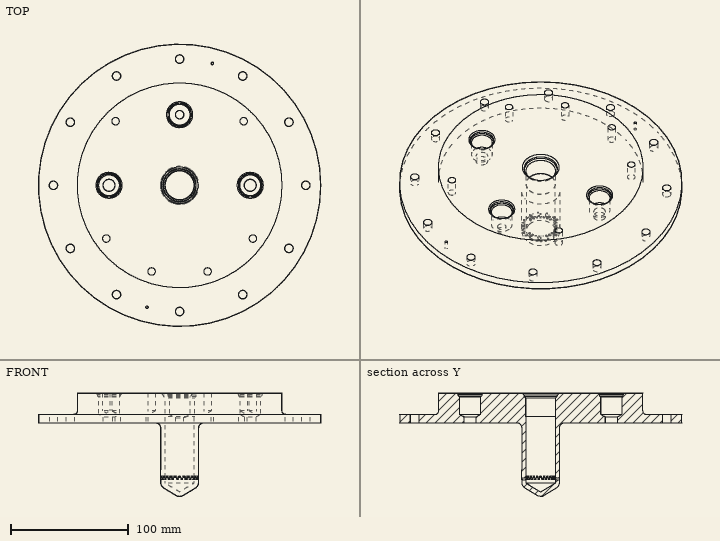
import cadquery as cq
import math

flange_diameter = 240.0
flange_thickness = 7.5
boss_diameter = 174.0
boss_height = 18.0
plate_thickness = flange_thickness + boss_height
boss_fillet_radius = 3.0

overall_height = 87.91
stem_diameter = 32.5
stem_root_fillet = 4.0
stem_shoulder_radius = 6.5
stem_tip_radius = 6.0
drill_point_angle = 118.0
tip_z = plate_thickness - overall_height

seal_cone_angle = 12.0

bore_diameter = 24.5
centre_mouth_diameter = 31.2
centre_cone_diameter = 28.2
centre_seat_diameter = 27.58
centre_thread_diameter = 25.07
centre_thread_depth = 20.0

port_mouth_diameter = 22.2
port_cone_diameter = 20.15
port_seat_diameter = 19.53
port_thread_diameter = 17.6
port_depth = 18.0
port_circle_radius = 60.0
port_outlets = {0.0: 10.0, 90.0: 7.0, 180.0: 10.0}

bolt_hole_diameter = 7.0
bolt_hole_count = 12
flange_hole_circle_radius = 107.25
pin_hole_diameter = 2.0
pin_hole_angles = (75.0, 255.0)

tapped_hole_diameter = 6.35
tapped_hole_depth = 15.0
tapped_hole_circle_radius = 77.0
tapped_hole_angles = (45.0, 135.0, 216.0, 252.0, 288.0, 324.0)

spray_hole_diameter = 1.2
spray_holes_per_row = 26
upper_spray_z = -45.6
lower_spray_z = -47.4
spray_pitch_angle = 360 / spray_holes_per_row
upper_spray_angle = 270.0
lower_spray_angle = upper_spray_angle + spray_pitch_angle / 2

cone_half_angle = math.radians(drill_point_angle / 2)


def cone_height(radius):
    """Height of a drill-point cone with the given base radius."""
    return radius / math.tan(cone_half_angle)


def polar_point(radius, angle):
    """XY position at a radius and an angle in degrees."""
    return (radius * math.cos(math.radians(angle)), radius * math.sin(math.radians(angle)))


def revolve_profile(profile):
    """Turn a closed XZ profile about the Z axis."""
    return profile.close().revolve(360, (0, 0, 0), (0, 1, 0))


def make_plate():
    """Flange and boss as one turned disc with a fillet at the boss foot."""
    flange_radius = flange_diameter / 2
    boss_radius = boss_diameter / 2
    profile = (
        cq.Workplane("XZ")
        .lineTo(flange_radius, 0)
        .lineTo(flange_radius, flange_thickness)
        .lineTo(boss_radius + boss_fillet_radius, flange_thickness)
        .radiusArc((boss_radius, flange_thickness + boss_fillet_radius), boss_fillet_radius)
        .lineTo(boss_radius, plate_thickness)
        .lineTo(0, plate_thickness)
    )
    return revolve_profile(profile)


def make_stem():
    """Stem whose wall, shoulder arc, cone and rounded tip run tangent to one another."""
    radius = stem_diameter / 2
    sin_half = math.sin(cone_half_angle)
    cos_half = math.cos(cone_half_angle)

    tip_centre_z = tip_z + stem_tip_radius
    tip_end_x = stem_tip_radius * cos_half
    tip_end_z = tip_centre_z - stem_tip_radius * sin_half

    shoulder_centre_x = radius - stem_shoulder_radius
    shoulder_end_x = shoulder_centre_x + stem_shoulder_radius * cos_half
    shoulder_end_z = tip_end_z + cone_height(shoulder_end_x - tip_end_x)
    shoulder_top_z = shoulder_end_z + stem_shoulder_radius * sin_half

    profile = (
        cq.Workplane("XZ")
        .lineTo(0, tip_z)
        .radiusArc((tip_end_x, tip_end_z), -stem_tip_radius)
        .lineTo(shoulder_end_x, shoulder_end_z)
        .radiusArc((radius, shoulder_top_z), -stem_shoulder_radius)
        .lineTo(radius, -stem_root_fillet)
        .radiusArc((radius + stem_root_fillet, 0), stem_root_fillet)
    )
    return revolve_profile(profile)


def open_port_profile(thread_diameter, seat_diameter, cone_diameter, mouth_diameter, lower_points):
    """Half section of a port: the given lower points, then the thread wall and flared mouth."""
    thread_radius = thread_diameter / 2
    seat_radius = seat_diameter / 2
    cone_radius = cone_diameter / 2
    mouth_radius = mouth_diameter / 2
    cone_top_z = plate_thickness - (mouth_radius - cone_radius)
    seat_z = cone_top_z - (cone_radius - seat_radius) / math.tan(math.radians(seal_cone_angle))
    thread_top_z = seat_z - (seat_radius - thread_radius)
    return cq.Workplane("XZ").polyline(
        lower_points
        + [
            (thread_radius, thread_top_z),
            (seat_radius, seat_z),
            (cone_radius, cone_top_z),
            (mouth_radius, plate_thickness),
            (0, plate_thickness),
        ]
    )


def make_centre_bore():
    """Central port continued by a blind bore with a drill point."""
    bore_radius = bore_diameter / 2
    thread_radius = centre_thread_diameter / 2
    thread_end_z = plate_thickness - centre_thread_depth
    wall = (stem_diameter - bore_diameter) / 2
    point_z = tip_z + wall
    lower_points = [
        (0, point_z),
        (bore_radius, point_z + cone_height(bore_radius)),
        (bore_radius, thread_end_z),
        (thread_radius, thread_end_z),
    ]
    profile = open_port_profile(
        centre_thread_diameter,
        centre_seat_diameter,
        centre_cone_diameter,
        centre_mouth_diameter,
        lower_points,
    )
    return revolve_profile(profile)


def make_port(outlet_diameter, angle):
    """Side port narrowing by a cone to an outlet through the plate."""
    thread_radius = port_thread_diameter / 2
    outlet_radius = outlet_diameter / 2
    thread_end_z = plate_thickness - port_depth
    lower_points = [
        (0, 0),
        (outlet_radius, 0),
        (outlet_radius, thread_end_z - cone_height(thread_radius - outlet_radius)),
        (thread_radius, thread_end_z),
    ]
    profile = open_port_profile(
        port_thread_diameter,
        port_seat_diameter,
        port_cone_diameter,
        port_mouth_diameter,
        lower_points,
    )
    x, y = polar_point(port_circle_radius, angle)
    return revolve_profile(profile).translate((x, y, 0))


def make_flange_holes():
    """Bolt holes and small pin holes on one circle, through the flange."""
    bolt_angles = [i * 360 / bolt_hole_count for i in range(bolt_hole_count)]
    bolt_points = [polar_point(flange_hole_circle_radius, a) for a in bolt_angles]
    pin_points = [polar_point(flange_hole_circle_radius, a) for a in pin_hole_angles]
    bolts = cq.Workplane("XY").pushPoints(bolt_points).circle(bolt_hole_diameter / 2)
    pins = cq.Workplane("XY").pushPoints(pin_points).circle(pin_hole_diameter / 2)
    return bolts.extrude(flange_thickness).add(pins.extrude(flange_thickness)).combine()


def make_tapped_hole(angle):
    """Blind hole with a drill point, sunk from the boss face."""
    radius = tapped_hole_diameter / 2
    floor_z = plate_thickness - tapped_hole_depth
    profile = (
        cq.Workplane("XZ")
        .moveTo(0, floor_z - cone_height(radius))
        .lineTo(radius, floor_z)
        .lineTo(radius, plate_thickness)
        .lineTo(0, plate_thickness)
    )
    x, y = polar_point(tapped_hole_circle_radius, angle)
    return revolve_profile(profile).translate((x, y, 0))


def make_spray_row(z, first_angle):
    """Ring of radial holes, each reaching from inside the bore to beyond the stem wall."""
    holes = []
    for i in range(spray_holes_per_row):
        x, y = polar_point(1, first_angle + i * spray_pitch_angle)
        direction = cq.Vector(x, y, 0)
        start = direction * (bore_diameter / 4) + cq.Vector(0, 0, z)
        hole = cq.Solid.makeCylinder(spray_hole_diameter / 2, stem_diameter / 2, start, direction)
        holes.append(cq.Workplane(hole))
    return holes


result = make_plate().union(make_stem())
result = result.cut(make_centre_bore())
result = result.cut(make_flange_holes())

for hole_angle in tapped_hole_angles:
    result = result.cut(make_tapped_hole(hole_angle))

for port_angle, port_outlet_diameter in port_outlets.items():
    result = result.cut(make_port(port_outlet_diameter, port_angle))

spray_holes = make_spray_row(upper_spray_z, upper_spray_angle)
spray_holes += make_spray_row(lower_spray_z, lower_spray_angle)
for spray_hole in spray_holes:
    result = result.cut(spray_hole)